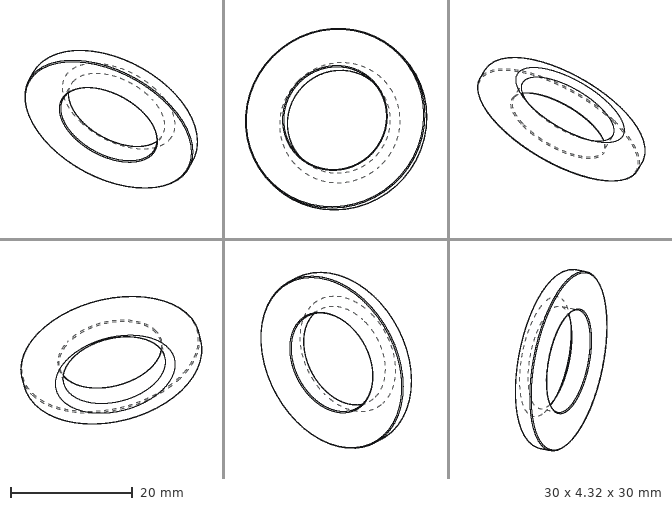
import cadquery as cq
import math

outer_radius = 15.0
bore_radius = 8.58
thickness = 4.32
crown_radius = 10.05
slope_angle = 15.0
dish_angle = 30.0
shoulder_radius = 1.5
edge_chamfer = 0.18

corner_y = thickness - (outer_radius - crown_radius) * math.tan(math.radians(slope_angle))

bore_top_y = thickness - (crown_radius - bore_radius) * math.tan(math.radians(dish_angle))

tangent_length = shoulder_radius * math.tan(math.radians((90 - slope_angle) / 2))
arc_start_y = corner_y - tangent_length


def shoulder_point(angle):
    """Point on the shoulder arc, angle in degrees up from the outer wall."""
    turn = math.radians(angle)
    center_radius = outer_radius - shoulder_radius
    return (
        center_radius + shoulder_radius * math.cos(turn),
        arc_start_y + shoulder_radius * math.sin(turn),
    )


arc_sweep = 90 - slope_angle

section = (
    cq.Workplane("XY")
    .moveTo(bore_radius + edge_chamfer, 0)
    .lineTo(outer_radius - edge_chamfer, 0)
    .lineTo(outer_radius, edge_chamfer)
    .lineTo(outer_radius, arc_start_y)
    .threePointArc(shoulder_point(arc_sweep / 2), shoulder_point(arc_sweep))
    .lineTo(crown_radius, thickness)
    .lineTo(bore_radius, bore_top_y)
    .lineTo(bore_radius, edge_chamfer)
    .close()
)

result = section.revolve(360, (0, 0, 0), (0, 1, 0))